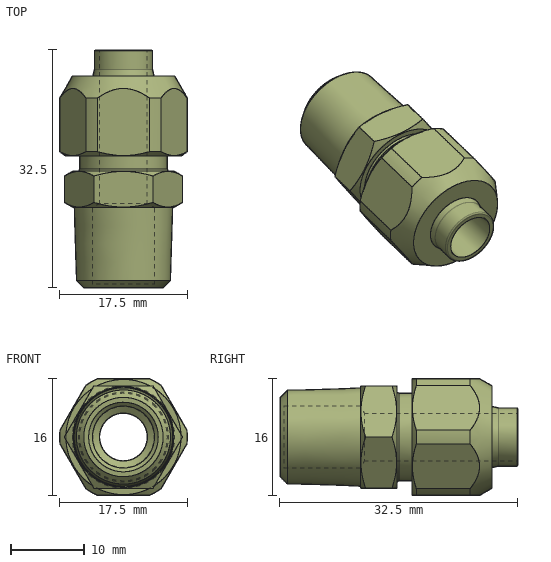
import cadquery as cq
import math

total_length = 32.5
thread_length = 11.0
hex_end = 16.0
nut_start = 18.0
nut_end = 29.0
tube_start = 29.85

thread_large_diameter = 13.5
thread_small_diameter = 12.87
thread_chamfer = 1.0

hex_across_flats = 14.0
hex_face_diameter = 13.78
corner_clearance = 0.03
collar_diameter = 12.0
collar_flare_diameter = 12.3
collar_flare_length = 0.3

nut_across_flats = 16.0
nut_corner_diameter = 17.5
nut_rear_face_diameter = 15.75
nut_rear_chamfer_length = 0.62
nut_front_face_diameter = 14.0

sleeve_diameter = 8.0
sleeve_flare_diameter = 8.4
sleeve_fillet = 0.2

bore_diameter = 6.5
counterbore_diameter = 8.48
counterbore_depth = 11.0
mouth_diameter = 9.52
mouth_depth = 0.52
seat_angle = 60.0

chamfer_slope = math.tan(math.radians(30))


def revolve_profile(stations):
    """Revolve (diameter, y) stations about the Y axis into a solid."""
    points = [(diameter / 2, y) for diameter, y in stations]
    outline = [(0, points[0][1])] + points + [(0, points[-1][1])]
    return cq.Workplane("XY").polyline(outline).close().revolve(360, (0, 0), (0, 1))


def hex_bar(across_flats, start, end):
    """Hexagonal bar along Y with its corners on the X axis."""
    across_corners = across_flats / math.cos(math.radians(30))
    return (
        cq.Workplane("XZ", origin=(0, start, 0))
        .polygon(6, across_corners)
        .extrude(start - end)
    )


def thread_body():
    end_diameter = thread_small_diameter - 2 * thread_chamfer
    return revolve_profile([
        (end_diameter, 0),
        (thread_small_diameter, thread_chamfer),
        (thread_large_diameter, thread_length),
    ])


def body_hex():
    corner_diameter = hex_across_flats / math.cos(math.radians(30))
    cone_diameter = corner_diameter + corner_clearance
    chamfer_length = (cone_diameter - hex_face_diameter) / 2 * chamfer_slope
    envelope = revolve_profile([
        (hex_face_diameter, thread_length),
        (cone_diameter, thread_length + chamfer_length),
        (cone_diameter, hex_end - chamfer_length),
        (hex_face_diameter, hex_end),
    ])
    return hex_bar(hex_across_flats, thread_length, hex_end).intersect(envelope)


def collar():
    return revolve_profile([
        (collar_flare_diameter, hex_end),
        (collar_diameter, hex_end + collar_flare_length),
        (collar_diameter, nut_start),
    ])


def nut():
    front_chamfer_length = (nut_corner_diameter - nut_front_face_diameter) / 2 / chamfer_slope
    envelope = revolve_profile([
        (nut_rear_face_diameter, nut_start),
        (nut_corner_diameter, nut_start + nut_rear_chamfer_length),
        (nut_corner_diameter, nut_end - front_chamfer_length),
        (nut_front_face_diameter, nut_end),
    ])
    return hex_bar(nut_across_flats, nut_start, nut_end).intersect(envelope)


def sleeve():
    blank = revolve_profile([
        (sleeve_flare_diameter, nut_end),
        (sleeve_diameter, tube_start),
        (sleeve_diameter, total_length),
    ])
    return blank.faces(">Y").edges().fillet(sleeve_fillet)


def passage():
    seat_length = (counterbore_diameter - bore_diameter) / 2 / math.tan(math.radians(seat_angle))
    return revolve_profile([
        (mouth_diameter, 0),
        (counterbore_diameter, mouth_depth),
        (counterbore_diameter, counterbore_depth),
        (bore_diameter, counterbore_depth + seat_length),
        (bore_diameter, total_length),
    ])


result = (
    thread_body()
    .union(body_hex())
    .union(collar())
    .union(nut())
    .union(sleeve())
    .cut(passage())
)